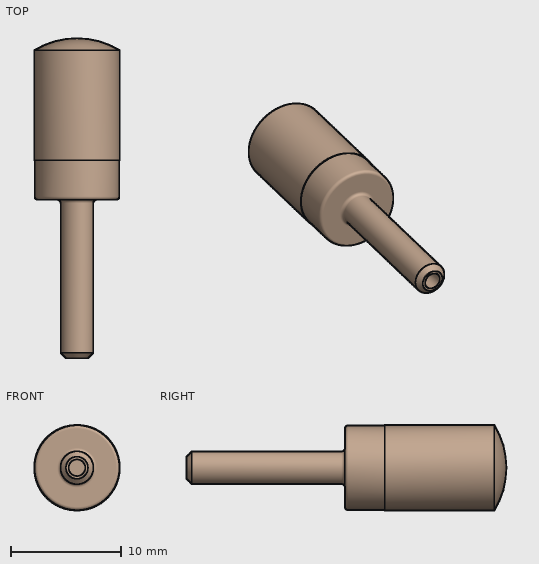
import cadquery as cq

total_length = 29.1
collar_face = 14.4
head_start = 18.0
dome_start = 28.0

pin_diameter = 3.0
collar_diameter = 7.7
head_diameter = 7.8
bore_diameter = 1.5

tip_chamfer = 0.5
root_fillet = 0.3
collar_fillet = 0.3
bore_depth = 2 * bore_diameter


def cylinder(diameter, start, end):
    """Solid cylinder along +Y between two axial positions."""
    base = cq.Workplane("XZ", origin=(0, start, 0))
    return base.circle(diameter / 2).extrude(start - end)


def domed_head():
    """Cylindrical head closed by a shallow spherical dome."""
    radius = head_diameter / 2
    dome_height = total_length - dome_start
    sphere_radius = (radius**2 + dome_height**2) / (2 * dome_height)
    sphere_center = total_length - sphere_radius
    sphere = cq.Workplane("XY").sphere(sphere_radius).translate((0, sphere_center, 0))
    return cylinder(head_diameter, head_start, total_length).intersect(sphere)


collar = cylinder(collar_diameter, collar_face, head_start).faces("<Y").edges().fillet(collar_fillet)

pin = cylinder(pin_diameter, 0, collar_face).faces("<Y").edges().chamfer(tip_chamfer)

pin_radius = pin_diameter / 2
fillet_start = collar_face - root_fillet
fillet_mid_offset = root_fillet * (1 - 0.5**0.5)
root_flare = (
    cq.Workplane("XY")
    .moveTo(0, fillet_start)
    .lineTo(pin_radius, fillet_start)
    .threePointArc(
        (pin_radius + fillet_mid_offset, collar_face - fillet_mid_offset),
        (pin_radius + root_fillet, collar_face),
    )
    .lineTo(0, collar_face)
    .close()
    .revolve(360, (0, 0, 0), (0, 1, 0))
)

bore = cylinder(bore_diameter, 0, bore_depth)

result = domed_head().union(collar).union(pin).union(root_flare).cut(bore)